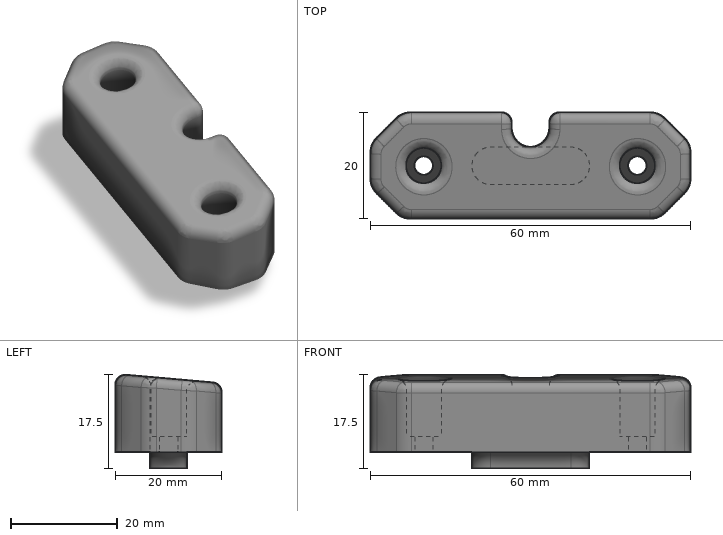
import cadquery as cq
import math

length = 60.0
width = length / 3
corner_cut = 6.0
corner_radius = 4.0
mid_height = 13.8
top_slope = 5.0
edge_radius = 2.0

tab_length = 22.0
tab_width = 7.0
tab_height = 3.05

hole_spacing = 2 * length / 3
hole_diameter = 3.4
head_diameter = 6.6
head_seat_height = 3.0

notch_radius = 3.5
notch_center_inset = 3.0
mouth_radius = 2.05


def sloped_body():
    rise = width / 2 * math.tan(math.radians(top_slope))
    profile = [
        (-width / 2, 0),
        (width / 2, 0),
        (width / 2, mid_height + rise),
        (-width / 2, mid_height - rise),
    ]
    bar = cq.Workplane("YZ").polyline(profile).close().extrude(length / 2, both=True)
    return bar.edges("|Z").chamfer(corner_cut).edges("|Z").fillet(corner_radius)


def cut_notch(body):
    cut_height = 2 * mid_height
    center_y = width / 2 - notch_center_inset
    round_end = cq.Workplane().center(0, center_y).circle(notch_radius).extrude(cut_height)
    mouth = cq.Workplane().center(0, center_y + width / 2).rect(2 * notch_radius, width).extrude(cut_height)
    body = body.cut(round_end.union(mouth))
    margin = 0.05
    mouth_corners = cq.selectors.BoxSelector(
        (-notch_radius - margin, width / 2 - margin, 0),
        (notch_radius + margin, width / 2 + margin, cut_height),
    )
    return body.edges("|Z").edges(mouth_corners).fillet(mouth_radius)


def cut_screw_holes(body):
    for x in (-hole_spacing / 2, hole_spacing / 2):
        hole = cq.Workplane().center(x, 0).circle(hole_diameter / 2).extrude(2 * mid_height)
        head = cq.Workplane(origin=(x, 0, head_seat_height)).circle(head_diameter / 2).extrude(2 * mid_height)
        body = body.cut(hole).cut(head)
    return body


def tab():
    return cq.Workplane().slot2D(tab_length, tab_width).extrude(-tab_height)


body = cut_screw_holes(cut_notch(sloped_body()))
body = body.faces(">Z").edges().fillet(edge_radius)
result = body.union(tab())